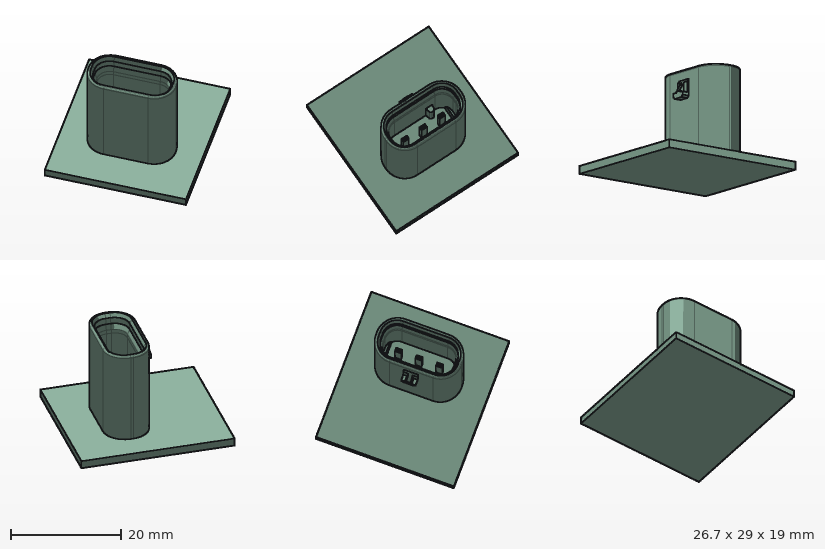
import cadquery as cq

plate_x = 26.7
plate_y = 29
plate_thickness = 1.5

total_height = 19.0
housing_x = 16.53
housing_y = 8.58
housing_radius = 4.05
housing_center_y = -3.48
rim_fillet = 0.35

cavity_depth = 12.0
corner_tightening = 0.23
cavity_profile = [
    (0.58, 0),
    (1.05, 0.78),
    (1.05, 2.03),
    (1.42, 3.02),
    (1.48, 3.75),
    (1.48, cavity_depth),
]

pin_count = 3
pin_pitch = 3.97
pin_x = 1.2
pin_y = 0.7
pin_height = 4.93
pin_chamfer = 0.23

key_x = 3.2
key_root_width = 1.42
key_tip_width = 0.87
key_protrusion = 1.13
key_tip_fillet = 0.35
key_height = 4.0

step_start_x = 6.1
step_slope_x = 0.23
step_height = 1.0

latch_protrusion = 1.4
latch_width = 2.78
latch_ramp_start = 1.97
latch_ramp_end = 4.25
latch_bottom = 5.55
latch_wing_top = 4.5
latch_wing_chamfer = 0.4
latch_rib_width = 0.85
latch_foot_chamfer = 0.25
latch_pad_thickness = 0.32

housing_back_y = housing_center_y + housing_y / 2
cavity_floor_z = total_height - cavity_depth
wall_inset = cavity_profile[-1][0]
cavity_back_y = housing_back_y - wall_inset
cavity_end_x = housing_x / 2 - wall_inset
embed = 0.3


def rounded_outline(inset, tightening):
    """Housing outline moved inwards by inset, with its corner radius reduced further by tightening."""
    corner_radius = housing_radius - inset - tightening
    outline = cq.Sketch().rect(housing_x - 2 * inset, housing_y - 2 * inset)
    return outline.vertices().fillet(corner_radius)


def make_housing():
    height = total_height - plate_thickness + embed
    return (
        cq.Workplane("XY", origin=(0, housing_center_y, plate_thickness - embed))
        .placeSketch(rounded_outline(0, 0))
        .extrude(height)
        .faces(">Z")
        .edges()
        .fillet(rim_fillet)
    )


def make_cavity():
    """Stack of ruled segments following the cavity wall from the rim to the floor."""
    cavity = cq.Workplane("XY")
    for (top_inset, top_depth), (low_inset, low_depth) in zip(cavity_profile, cavity_profile[1:]):
        drop = low_depth - top_depth
        top_outline = rounded_outline(top_inset, corner_tightening)
        low_outline = rounded_outline(low_inset, corner_tightening).moved(cq.Location(cq.Vector(0, 0, -drop)))
        segment = (
            cq.Workplane("XY", origin=(0, housing_center_y, total_height - top_depth))
            .placeSketch(top_outline, low_outline)
            .loft(ruled=True)
        )
        cavity = cavity.union(segment)
    return cavity


def make_pins():
    return (
        cq.Workplane("XY", origin=(0, housing_center_y, cavity_floor_z - embed))
        .rarray(pin_pitch, 0.3, pin_count, 1)
        .rect(pin_x, pin_y)
        .extrude(pin_height + embed)
        .faces(">Z")
        .edges()
        .chamfer(pin_chamfer)
    )


def make_key():
    tip_y = cavity_back_y - key_protrusion
    return (
        cq.Workplane("XY", origin=(key_x, 0, cavity_floor_z - embed))
        .moveTo(-key_root_width / 2, cavity_back_y + embed)
        .lineTo(-key_root_width / 2, cavity_back_y)
        .lineTo(-key_tip_width / 2, tip_y)
        .lineTo(key_tip_width / 2, tip_y)
        .lineTo(key_root_width / 2, cavity_back_y)
        .lineTo(key_root_width / 2, cavity_back_y + embed)
        .close()
        .extrude(key_height + embed)
        .edges("|Z and <Y")
        .fillet(key_tip_fillet)
    )


def make_floor_step():
    step = (
        cq.Workplane("XZ", origin=(0, housing_center_y, cavity_floor_z))
        .moveTo(step_start_x, -embed)
        .lineTo(step_start_x, 0)
        .lineTo(step_start_x + step_slope_x, step_height)
        .lineTo(cavity_end_x + embed, step_height)
        .lineTo(cavity_end_x + embed, -embed)
        .close()
        .extrude(housing_y / 2, both=True)
    )
    inside = (
        cq.Workplane("XY", origin=(0, housing_center_y, cavity_floor_z - embed))
        .placeSketch(rounded_outline(wall_inset - embed, corner_tightening))
        .extrude(step_height + embed)
    )
    return step.intersect(inside)


def make_latch():
    """Ramped rib with a thin pad behind it and a wide stop at its lower end."""
    top_z = total_height - latch_ramp_start
    ramp_end_z = total_height - latch_ramp_end
    bottom_z = total_height - latch_bottom
    wing_top_z = total_height - latch_wing_top
    latch_tip_y = housing_back_y + latch_protrusion
    root_y = housing_back_y - embed
    depth_y = latch_tip_y - root_y

    side_profile = (
        cq.Workplane("YZ")
        .moveTo(root_y, bottom_z)
        .lineTo(root_y, top_z)
        .lineTo(housing_back_y, top_z)
        .lineTo(latch_tip_y, ramp_end_z)
        .lineTo(latch_tip_y, bottom_z)
        .close()
        .extrude(latch_width / 2, both=True)
    )

    half_rib = latch_rib_width / 2
    half_foot = half_rib + latch_foot_chamfer
    half_wing = latch_width / 2
    rib_half = (
        cq.Workplane("XZ", origin=(0, latch_tip_y, 0))
        .moveTo(-half_rib, top_z)
        .lineTo(-half_rib, wing_top_z + latch_foot_chamfer)
        .lineTo(-half_foot, wing_top_z)
        .lineTo(-half_wing, wing_top_z)
        .lineTo(-half_wing, bottom_z + latch_wing_chamfer)
        .lineTo(-half_wing + latch_wing_chamfer, bottom_z)
        .lineTo(0, bottom_z)
        .lineTo(0, top_z)
        .close()
        .extrude(depth_y)
    )
    rib_and_wings = rib_half.union(rib_half.mirror("YZ"))

    pad_low_z = wing_top_z - embed
    pad = (
        cq.Workplane("XY", origin=(0, root_y, pad_low_z))
        .box(latch_width, latch_pad_thickness + embed, top_z - pad_low_z, centered=(True, False, False))
    )
    return rib_and_wings.union(pad).intersect(side_profile)


plate = cq.Workplane("XY").box(plate_x, plate_y, plate_thickness, centered=(True, True, False))

result = (
    plate.union(make_housing())
    .cut(make_cavity())
    .union(make_pins())
    .union(make_key())
    .union(make_floor_step())
    .union(make_latch())
)